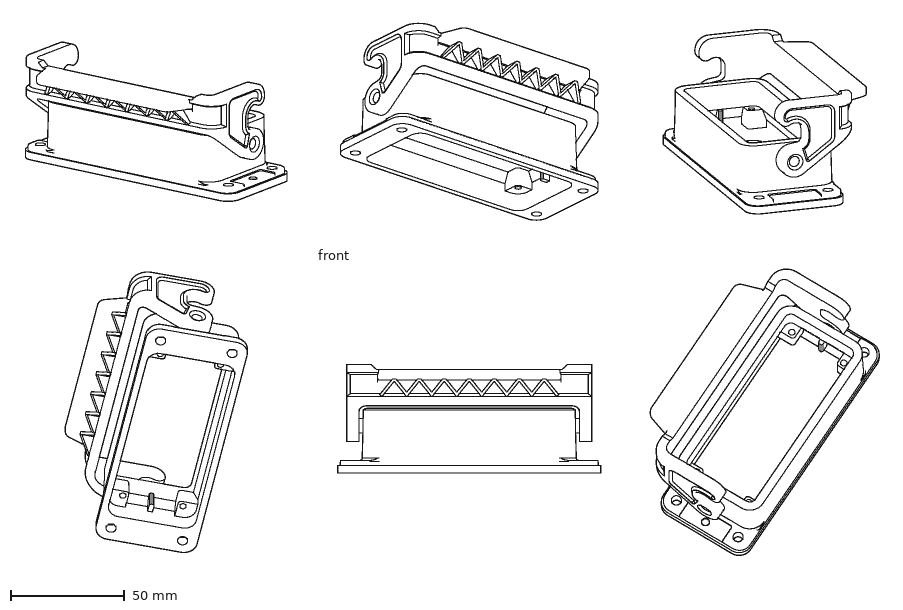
import cadquery as cq
import math

FLANGE_X, FLANGE_Y, FLANGE_Z = 115.5, 45.4, 3.5
FLANGE_CORNER = 6.0
STEP_X = 113.3
STEP_TOP = 5.7
STEP_CORNER = 5.4
STEP_EDGE = 0.6
SHELL_X, SHELL_Y = 93.1, 42.9
SHELL_CORNER = 6.9
DRAFT = 1.7
BAND_Z = 23.3
RIM_Z = 27.8
CROWN = 0.7
WALL = 3.9
SHELL_FOOT = 0.9

LEDGE_Z = 16.5
LEDGE_END_Z = 11.5
LEDGE_DEPTH = 2.0
BOSS_INNER_X, BOSS_INNER_Y = 36.5, 11.1
BOSS_BOTTOM = 8.1
BOSS_CORNER = 1.4
BOSS_HOLE_X, BOSS_HOLE_Y, BOSS_HOLE_D = 38.9, 13.5, 2.8
MOUNT_X, MOUNT_Y, MOUNT_D = 51.5, 16.0, 4.4
KEY_INNER_X, KEY_WIDTH, KEY_CHAMFER = 40.8, 2.2, 0.6
PAD_HALF_Y = 11.2
PAD_INNER_X = 48.6
PAD_DEPTH = 0.6
PAD_CORNER = 1.0
DIMPLE_X, DIMPLE_R, DIMPLE_DEPTH = 53.0, 1.7, 0.9

LEVER_HALF_X = 53.8
LEVER_INNER_X = 48.3
LEVER_FRONT_Y = -28.8
LEVER_BACK_Y = -24.7
LEVER_CORNER = 8.1
LEVER_INNER_CORNER = 3.3
LEVER_REACH_Y = 11.5
LEVER_EDGE = 0.3

LEVER_TOP = 47.8
PIVOT_Z = 20.8
PIVOT_R = 6.9
SLOPE = 34.8
HOOK_Z, HOOK_R = 34.2, 4.6
NOSE_Y, NOSE_R = 4.2, 3.5
HOOK_TOP_R = 6.4
THROAT_R = 2.5
THROAT_TILT = 7.0

WASHER_R = 3.2
SINK_MOUTH_R, SINK_FLOOR_R, SINK_DEPTH = 3.6, 2.3, 1.2

POCKET_DEPTH = 1.2
POCKET_BEVEL = 1.0
POCKET_RIM = 2.3
POCKET_SEAT_RIM = 1.7
POCKET_SLOPE_RIM = 3.0
POCKET_FRONT_Y = -18.5
POCKET_HEEL_Y = -5.5
POCKET_CORNER, POCKET_HEEL_CORNER = 3.5, 1.0
POCKET_THROAT_END = 250.0

RECESS_DEPTH = 1.5
RECESS_Y = LEVER_FRONT_Y + RECESS_DEPTH
RECESS_BOTTOM, RECESS_TOP = 34.9, 43.3
RECESS_END_Y = -20.7
RECESS_LOWER_LEDGE, RECESS_UPPER_LEDGE = 1.2, 0.8
LOWER_LEDGE_Z = RECESS_BOTTOM - RECESS_LOWER_LEDGE
DIP_Z = 45.6
DIP_HALF_X, DIP_RUN = 40.8, 2.4
HANDLE_END_Y = -40.5
HANDLE_END_BOTTOM, HANDLE_ROOT_BOTTOM = 41.8, 41.0
HANDLE_ROOT_HALF_X, HANDLE_END_HALF_X = 40.3, 36.0
HANDLE_CORNER = 3.7
HANDLE_EDGE = 0.7
HANDLE_ROOT_FILLET = 1.0
RIB_PEAKS = 7
RIB_PITCH = 11.0
RIB_THICK = 1.3
RIB_VALLEY_Z, RIB_PEAK_Z = 34.5, 41.3
RIB_TIP_Y = -33.8


FILLET_BEND = 1 - math.sqrt(0.5)


def rounded_box(size_x, size_y, corner, bottom, height, taper=0.0):
    outline = cq.Sketch().rect(size_x, size_y).vertices().fillet(corner)
    return cq.Workplane("XY", origin=(0, 0, bottom)).placeSketch(outline).extrude(height, taper=taper)


def both_sides(solid):
    return solid.union(solid.mirror("YZ"))


def side_prism(points, half_width):
    return cq.Workplane("YZ").polyline(points).close().extrude(half_width, both=True)


def shell_growth(z):
    """Sideways growth of the drafted shell at height z below the straight band."""
    return (BAND_Z - z) * math.tan(math.radians(DRAFT))


def make_step(top, rounded=True):
    """Drafted step block; its long sides lie flush with the shell."""
    width = SHELL_Y + 2 * shell_growth(FLANGE_Z)
    block = rounded_box(STEP_X, width, STEP_CORNER, FLANGE_Z, top - FLANGE_Z, DRAFT)
    return block.faces(">Z").edges().fillet(STEP_EDGE) if rounded else block


def make_outside():
    grow = shell_growth(FLANGE_Z)
    flange = rounded_box(FLANGE_X, FLANGE_Y, FLANGE_CORNER, 0, FLANGE_Z)
    step = make_step(STEP_TOP)
    shell = rounded_box(
        SHELL_X + 2 * grow, SHELL_Y + 2 * grow, SHELL_CORNER + grow, FLANGE_Z, BAND_Z - FLANGE_Z, DRAFT
    )
    band = rounded_box(SHELL_X, SHELL_Y, SHELL_CORNER, BAND_Z, RIM_Z - BAND_Z)
    return flange.union(step).union(shell).union(band)


def shell_loop(z, offset):
    """Closed path around the shell at height z, offset outwards from the straight band."""
    size = (SHELL_X + 2 * offset, SHELL_Y + 2 * offset, SHELL_CORNER + offset)
    return rounded_box(*size, z, WALL).faces("<Z").wires()


def make_foot():
    """Concave fillet at the foot of the shell, cut off flush with the step sides."""
    grow = shell_growth(STEP_TOP)
    edge = SHELL_X / 2 + grow
    overlap = SHELL_FOOT / 2
    bend = SHELL_FOOT * FILLET_BEND
    profile = (
        cq.Workplane("XZ")
        .moveTo(edge - overlap, STEP_TOP - overlap)
        .lineTo(edge - overlap, STEP_TOP + SHELL_FOOT)
        .lineTo(edge, STEP_TOP + SHELL_FOOT)
        .threePointArc((edge + bend, STEP_TOP + bend), (edge + SHELL_FOOT, STEP_TOP))
        .lineTo(edge + SHELL_FOOT, STEP_TOP - overlap)
        .close()
    )
    foot = profile.sweep(shell_loop(STEP_TOP, grow))
    return foot.intersect(make_step(STEP_TOP + SHELL_FOOT, rounded=False))


def make_crown():
    """Shallow round on top of the wall."""
    middle = (SHELL_X - WALL) / 2
    profile = (
        cq.Workplane("XZ", origin=(0, 0, RIM_Z))
        .moveTo(middle - WALL / 2, 0)
        .threePointArc((middle, CROWN), (middle + WALL / 2, 0))
        .close()
    )
    return profile.sweep(shell_loop(RIM_Z, -WALL / 2))


def make_cavity():
    inner_x, inner_y = SHELL_X - 2 * WALL, SHELL_Y - 2 * WALL
    corner = SHELL_CORNER - WALL
    mouth = rounded_box(inner_x, inner_y, corner, BAND_Z, RIM_Z - BAND_Z)
    throat_grow = shell_growth(LEDGE_Z)
    throat = rounded_box(
        inner_x + 2 * throat_grow, inner_y + 2 * throat_grow, corner + throat_grow,
        LEDGE_Z, BAND_Z - LEDGE_Z, DRAFT,
    )
    grow = throat_grow + LEDGE_DEPTH
    ledge_height = LEDGE_Z - LEDGE_END_Z
    ledge_taper = math.degrees(math.atan(LEDGE_DEPTH / ledge_height))
    wide = (inner_x + 2 * grow, inner_y + 2 * grow, corner + grow)
    ledge = rounded_box(*wide, LEDGE_END_Z, ledge_height, ledge_taper)
    well = rounded_box(*wide, 0, LEDGE_END_Z)
    return mouth.union(throat).union(ledge).union(well)


def make_bosses(cavity):
    """Screw bosses hanging in the four corners of the cavity."""
    corner_size = (SHELL_X - 2 * BOSS_INNER_X, SHELL_Y - 2 * BOSS_INNER_Y)
    corners = (
        cq.Workplane("XY", origin=(0, 0, BOSS_BOTTOM))
        .rect(SHELL_X, SHELL_Y, forConstruction=True)
        .vertices()
        .rect(*corner_size)
        .extrude(LEDGE_Z - BOSS_BOTTOM)
        .edges("|Z")
        .fillet(BOSS_CORNER)
    )
    holes = (
        cq.Workplane("XY")
        .rect(2 * BOSS_HOLE_X, 2 * BOSS_HOLE_Y, forConstruction=True)
        .vertices()
        .circle(BOSS_HOLE_D / 2)
        .extrude(LEDGE_Z)
    )
    return corners.intersect(cavity).cut(holes)


def make_key():
    """Upright key on the inside of the +X end wall."""
    length = SHELL_X / 2 - KEY_INNER_X
    return (
        cq.Workplane("XY", origin=(KEY_INNER_X + length / 2, 0, BOSS_BOTTOM))
        .rect(length, KEY_WIDTH)
        .extrude(LEDGE_Z - BOSS_BOTTOM)
        .edges("|Z and <X")
        .chamfer(KEY_CHAMFER)
    )


def make_pads():
    """Open-ended recesses on both flange ends; the rounded step edge runs on below them."""
    length = FLANGE_X / 2 - PAD_INNER_X
    height = PAD_DEPTH + STEP_EDGE
    pad = (
        cq.Workplane("XY", origin=(PAD_INNER_X + length / 2, 0, STEP_TOP - height))
        .rect(length, 2 * PAD_HALF_Y)
        .extrude(height)
        .edges("|Z and <X")
        .fillet(PAD_CORNER)
    )
    return both_sides(pad).cut(make_step(STEP_TOP - PAD_DEPTH))


def make_dimple():
    """Round dimple in the floor of the +X pad."""
    return (
        cq.Workplane("XY", origin=(DIMPLE_X, 0, STEP_TOP - PAD_DEPTH - DIMPLE_DEPTH))
        .circle(DIMPLE_R)
        .extrude(DIMPLE_DEPTH)
    )


def make_base():
    cavity = make_cavity()
    base = make_outside().union(make_foot()).union(make_crown()).cut(cavity)
    base = base.union(make_bosses(cavity)).union(both_sides(make_key()))
    mounts = (
        cq.Workplane("XY")
        .rect(2 * MOUNT_X, 2 * MOUNT_Y, forConstruction=True)
        .vertices()
        .circle(MOUNT_D / 2)
        .extrude(STEP_TOP)
    )
    return base.cut(mounts).cut(make_pads()).cut(make_dimple())


def lever_block(bottom, top, inset=0.0, taper=0.0):
    """Block with the outer plan of the lever, optionally inset or tapered."""
    half = LEVER_HALF_X - inset
    front = LEVER_FRONT_Y + inset
    outline = (
        cq.Sketch()
        .rect(2 * half, LEVER_REACH_Y - front)
        .vertices("<Y")
        .fillet(LEVER_CORNER - inset)
    )
    return (
        cq.Workplane("XY", origin=(0, (front + LEVER_REACH_Y) / 2, bottom))
        .placeSketch(outline)
        .extrude(top - bottom, taper=taper)
    )


def lever_opening():
    return (
        cq.Workplane("XY", origin=(0, (LEVER_BACK_Y + LEVER_REACH_Y) / 2, 0))
        .rect(2 * LEVER_INNER_X, LEVER_REACH_Y - LEVER_BACK_Y)
        .extrude(LEVER_TOP)
        .edges("|Z and <Y")
        .fillet(LEVER_INNER_CORNER)
    )


def around(center, radius, degrees):
    angle = math.radians(degrees)
    return (center[0] + radius * math.cos(angle), center[1] + radius * math.sin(angle))


def slope_z(y, offset=0.0):
    """Height of the sloped underside at y, moved inwards by offset."""
    lift = (offset - PIVOT_R) / math.cos(math.radians(SLOPE))
    return PIVOT_Z + lift - y * math.tan(math.radians(SLOPE))


PIVOT = (0.0, PIVOT_Z)
HOOK = (0.0, HOOK_Z)
NOSE = (NOSE_Y, HOOK_Z + math.sqrt((HOOK_R + NOSE_R) ** 2 - NOSE_Y ** 2))
HOOK_TOP = (NOSE_Y + NOSE_R - HOOK_TOP_R, LEVER_TOP - HOOK_TOP_R)
NOSE_ANGLE = math.degrees(math.atan2(NOSE[1] - HOOK_Z, NOSE_Y))


def throat_center():
    """Centre of the throat round, tangent to the slot wall and the tilted slot floor."""
    tilt = math.radians(THROAT_TILT)
    y = THROAT_R - HOOK_R
    floor_rise = (PIVOT_R + THROAT_R) / math.cos(tilt)
    return (y, PIVOT_Z + floor_rise - y * math.tan(tilt))


def make_side():
    """Side outline of the arms: pivot boss, hook and sloped underside."""
    boss_top = around(PIVOT, PIVOT_R, 90 - THROAT_TILT)
    throat = throat_center()
    return (
        cq.Workplane("YZ")
        .moveTo(LEVER_FRONT_Y, LEVER_TOP)
        .lineTo(HOOK_TOP[0], LEVER_TOP)
        .threePointArc(around(HOOK_TOP, HOOK_TOP_R, 45), around(HOOK_TOP, HOOK_TOP_R, 0))
        .lineTo(NOSE_Y + NOSE_R, NOSE[1])
        .threePointArc(around(NOSE, NOSE_R, NOSE_ANGLE / 2 - 90), around(HOOK, HOOK_R, NOSE_ANGLE))
        .threePointArc(around(HOOK, HOOK_R, 120), (-HOOK_R, HOOK_Z))
        .lineTo(-HOOK_R, throat[1])
        .threePointArc(around(throat, THROAT_R, 225), around(throat, THROAT_R, 270 - THROAT_TILT))
        .lineTo(*boss_top)
        .threePointArc(around(PIVOT, PIVOT_R, -20), around(PIVOT, PIVOT_R, 270 - SLOPE))
        .lineTo(LEVER_FRONT_Y, slope_z(LEVER_FRONT_Y))
        .close()
        .extrude(LEVER_HALF_X, both=True)
    )


def make_side_pocket():
    """Bevelled pocket in the outer face of the arm on the +X side."""
    throat = throat_center()
    throat_r = THROAT_R + POCKET_SEAT_RIM
    seat_r = HOOK_R + POCKET_SEAT_RIM
    nose_r = NOSE_R - POCKET_RIM
    top_r = HOOK_TOP_R - POCKET_RIM
    top = LEVER_TOP - POCKET_RIM
    pocket = (
        cq.Workplane("YZ", origin=(LEVER_HALF_X, 0, 0))
        .moveTo(POCKET_FRONT_Y, top)
        .lineTo(HOOK_TOP[0], top)
        .threePointArc(around(HOOK_TOP, top_r, 45), around(HOOK_TOP, top_r, 0))
        .lineTo(NOSE_Y + nose_r, NOSE[1])
        .threePointArc(around(NOSE, nose_r, NOSE_ANGLE / 2 - 90), around(HOOK, seat_r, NOSE_ANGLE))
        .threePointArc(around(HOOK, seat_r, 120), (-seat_r, HOOK_Z))
        .lineTo(-seat_r, throat[1])
        .threePointArc(around(throat, throat_r, 215), around(throat, throat_r, POCKET_THROAT_END))
        .lineTo(POCKET_HEEL_Y, slope_z(POCKET_HEEL_Y, POCKET_SLOPE_RIM))
        .lineTo(POCKET_FRONT_Y, slope_z(POCKET_FRONT_Y, POCKET_SLOPE_RIM))
        .close()
        .extrude(-POCKET_DEPTH)
    )
    pocket = pocket.edges("|X").edges("<Y").fillet(POCKET_CORNER)
    pocket = pocket.edges("|X").edges("<Z").fillet(POCKET_HEEL_CORNER)
    return pocket.faces("<X").edges().chamfer(POCKET_BEVEL)


def make_front_recess():
    """Shallow recess with sloped ledges, wrapping around the front of the lever."""
    bottom = LOWER_LEDGE_Z
    top = RECESS_TOP + RECESS_UPPER_LEDGE
    lower_taper = math.degrees(math.atan(RECESS_DEPTH / RECESS_LOWER_LEDGE))
    upper_taper = math.degrees(math.atan(RECESS_DEPTH / RECESS_UPPER_LEDGE))
    sides = (
        cq.Workplane("XY", origin=(0, 0, bottom))
        .rect(2 * LEVER_HALF_X, 2 * (RECESS_DEPTH - RECESS_END_Y))
        .extrude(top - bottom)
        .edges("|Z")
        .chamfer(RECESS_DEPTH)
    )
    slab = (
        cq.Workplane("XY", origin=(0, 2 * RECESS_END_Y, bottom))
        .rect(2 * LEVER_HALF_X, -2 * RECESS_END_Y)
        .extrude(top - bottom)
    )
    core = (
        lever_block(RECESS_BOTTOM, RECESS_TOP, RECESS_DEPTH)
        .union(lever_block(bottom, RECESS_BOTTOM, taper=lower_taper))
        .union(lever_block(top, RECESS_TOP, taper=upper_taper))
    )
    return slab.cut(sides).cut(core)


def make_dip():
    """Lowered middle of the lever top, with ramps at both ends."""
    top_half = DIP_HALF_X + DIP_RUN
    return (
        cq.Workplane("XZ")
        .polyline([
            (-DIP_HALF_X, DIP_Z), (DIP_HALF_X, DIP_Z), (top_half, LEVER_TOP), (-top_half, LEVER_TOP),
        ])
        .close()
        .extrude(-LEVER_FRONT_Y)
    )


def make_handle():
    plan = (
        cq.Workplane("XY", origin=(0, 0, HANDLE_ROOT_BOTTOM))
        .polyline([
            (-HANDLE_ROOT_HALF_X, RECESS_Y), (HANDLE_ROOT_HALF_X, RECESS_Y),
            (HANDLE_END_HALF_X, HANDLE_END_Y), (-HANDLE_END_HALF_X, HANDLE_END_Y),
        ])
        .close()
        .extrude(DIP_Z - HANDLE_ROOT_BOTTOM)
        .edges("|Z and <Y")
        .fillet(HANDLE_CORNER)
    )
    underside = side_prism(
        [
            (RECESS_Y, HANDLE_ROOT_BOTTOM),
            (HANDLE_END_Y, HANDLE_ROOT_BOTTOM),
            (HANDLE_END_Y, HANDLE_END_BOTTOM),
        ],
        LEVER_HALF_X,
    )
    root_z = HANDLE_ROOT_BOTTOM
    bend = HANDLE_ROOT_FILLET * FILLET_BEND
    root_fillet = (
        cq.Workplane("YZ")
        .moveTo(RECESS_Y, root_z)
        .lineTo(RECESS_Y, root_z - HANDLE_ROOT_FILLET)
        .threePointArc((RECESS_Y - bend, root_z - bend), (RECESS_Y - HANDLE_ROOT_FILLET, root_z))
        .close()
        .extrude(HANDLE_ROOT_HALF_X, both=True)
    )
    handle = plan.cut(underside)
    for side in (">Z", "<Z"):
        handle = handle.faces(side).edges("not >Y").fillet(HANDLE_EDGE)
    return handle.union(root_fillet)


def make_ribs():
    """Zigzag of thin ribs bracing the handle against the lever front."""
    rise = RIB_PEAK_Z - RIB_VALLEY_Z
    run = RIB_PITCH / 2
    length = math.hypot(run, rise)
    lean = math.degrees(math.atan2(rise, run))
    first_x = -(RIB_PEAKS * 2 - 1) * run / 2
    middle_z = (RIB_PEAK_Z + RIB_VALLEY_Z) / 2
    ribs = cq.Workplane("XY")
    for index in range(2 * RIB_PEAKS):
        turn = -lean if index % 2 == 0 else lean
        rib = (
            cq.Workplane("XY")
            .box(length + RIB_THICK, RECESS_Y - RIB_TIP_Y, RIB_THICK)
            .rotate((0, 0, 0), (0, 1, 0), turn)
            .translate((first_x + index * run, (RECESS_Y + RIB_TIP_Y) / 2, middle_z))
        )
        ribs = ribs.union(rib)
    gusset = side_prism(
        [
            (RECESS_Y, LOWER_LEDGE_Z), (LEVER_FRONT_Y, LOWER_LEDGE_Z),
            (RIB_TIP_Y, RIB_PEAK_Z), (RECESS_Y, RIB_PEAK_Z),
        ],
        LEVER_HALF_X,
    )
    return ribs.intersect(gusset)


def make_pivot():
    """Pivot washer joining the shell to the arm on the +X side."""
    wall_x = (SHELL_X - WALL) / 2
    return (
        cq.Workplane("YZ", origin=(wall_x, 0, PIVOT_Z))
        .circle(WASHER_R)
        .extrude(LEVER_INNER_X - wall_x)
    )


def make_pivot_sink():
    """Conical sink around the pin end in the outer face of the +X arm."""
    taper = math.degrees(math.atan((SINK_MOUTH_R - SINK_FLOOR_R) / SINK_DEPTH))
    return (
        cq.Workplane("YZ", origin=(LEVER_HALF_X, 0, PIVOT_Z))
        .circle(SINK_MOUTH_R)
        .extrude(-SINK_DEPTH, taper=taper)
    )


def make_lever():
    lever = lever_block(0, LEVER_TOP).intersect(make_side()).cut(lever_opening())
    lever = lever.faces("<X or >X or <Y").edges("not |Z").fillet(LEVER_EDGE)
    lever = lever.cut(make_front_recess()).cut(make_dip())
    lever = lever.union(make_handle()).union(make_ribs())
    return lever.cut(both_sides(make_side_pocket())).cut(both_sides(make_pivot_sink()))


result = make_base().union(make_lever()).union(both_sides(make_pivot()))